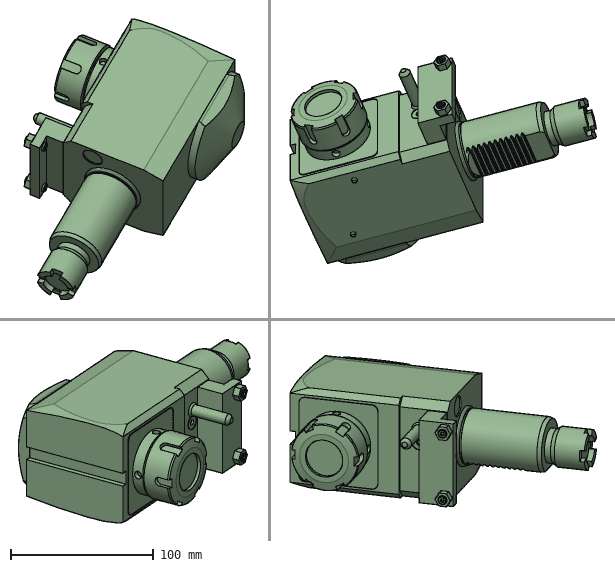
import cadquery as cq
import math


HALF_HEIGHT = 37.5
BODY_BACK = 116.0
BODY_LEFT = -41.4
BODY_RIGHT = 39.2
BODY_CHAMFER = 4.1
STEP_DEPTH = 2.4
STEP_LENGTH = 35.4
STEP_CHAMFER = 6.0
STEP_FACE = BODY_LEFT + STEP_DEPTH
TAPER_START = 24.0
TAPER_ANGLE = math.radians(15)
KEYWAY_WIDTH = 10.0
KEYWAY_DEPTH = 4.0

ARCH_ANGLE = math.radians(12)
ARCH_POINTS = [(-37.6, 34.75), (-33.0, 35.6), (-25.5, 36.5), (-14.0, 36.8), (2.2, 36.4), (24.0, 34.95)]

PAD_LENGTH = 58.4
PAD_HEIGHT = 63.2
PAD_RADIUS = 4.5
PAD_THICKNESS = 0.6

SPINDLE_Y = 80.0
COLLAR_RADIUS = 24.0
COLLAR_END = -50.4
GROOVE_RADIUS = 20.8
NUT_RADIUS = 25.0
NUT_BACK = -52.2
NUT_CHAMFER_START = -71.7
NUT_SHOULDER = -73.0
NUT_SHOULDER_RADIUS = 24.4
NUT_FACE = -74.5
NUT_FACE_RADIUS = 18.0
NUT_BORE_RADIUS = 13.75
NUT_BORE_DEPTH = 2.5
NUT_SLOTS = 6
NUT_SLOT_WIDTH = 6.5
NUT_SIDE_SLOT_END = -61.4
NUT_SLANT_SLOT_END = -57.9
NUT_SLOT_FLOOR = 22.0
COLLAR_HOLES = 4
COLLAR_HOLE_RADIUS = 2.8
COLLAR_HOLE_DEPTH = 4.0
COLLAR_HOLE_X = -46.4

COVER_RADIUS = 40.0
COVER_RIM = 44.8
COVER_TIP = 59.1
COVER_TIP_RADIUS = 10.0
COVER_BACK = 111.5
COVER_FLAT_END = 41.0

FLANGE_RADIUS = 21.6
FLANGE_LENGTH = 2.3
FLANGE_ROUND = 1.0
UNDERCUT_RADIUS = 19.7
SHANK_RADIUS = 20.3
SHANK_START = 3.6
SHANK_CHAMFER_START = 60.0
SHANK_END = 63.0
SHANK_END_RADIUS = 19.3
NECK_RADIUS = 12.5
NECK_END = 67.5
COUPLING_RADIUS = 14.6
COUPLING_START = 71.0
COUPLING_END = 93.0
COUPLING_BORE_RADIUS = 10.0
COUPLING_BORE_DEPTH = 4.3
COUPLING_SLOT_DEPTH = 3.3
COUPLING_SLOTS = 4
COUPLING_SLOT_ANGLE = math.radians(33)

FLAT_Z = -16.1
TOOTH_PITCH = 4.06
TOOTH_DEPTH = 1.6
TOOTH_COUNT = 11
TOOTH_ROOT_WIDTH = 0.8
TOOTH_MOUTH_WIDTH = 3.2
LAST_GROOVE_Y = -47.4

BRACKET_FRONT = -59.6
BRACKET_TOP = 14.5
BRACKET_BASE = 0.6
BRACKET_LEG_BACK = -52.2
BRACKET_LEG_END = -10.8
BRACKET_HALF_HEIGHT = 31.0
SCREW_Y = -4.6
SCREW_Z = 24.9
NUT_ACROSS_FLATS = 9.8
HEX_NUT_HEIGHT = 5.1
SCREW_RADIUS = 3.2
SCREW_CROWN = 1.2
SCREW_TIP = 1.9
SCREW_EDGE_BREAK = 0.6
SCREW_SOCKET = 2.5
SCREW_SOCKET_DEPTH = 2.0

PIN_Y = 21.2
PIN_Z = 16.0
PIN_RADIUS = 4.15
PIN_TIP = -71.6
PIN_CHAMFER = 2.7
PIN_TIP_RADIUS = 2.0
PIN_COLLAR_RADIUS = 5.3
PIN_COLLAR_HEIGHT = 1.5
PLUG_Z = 6.0
PLUG_RADIUS = 5.2
PLUG_DEPTH = 0.4
PLUG_SOCKET_RADIUS = 1.9
PLUG_SOCKET_DEPTH = 2.0

RECESS_X = -16.0
RECESS_Z = 27.9
RECESS_RADIUS = 7.5
RECESS_DEPTH = 1.0
NOZZLE_POSITIONS = [(-30.0, 72.0), (16.5, 89.0)]
NOZZLE_RADIUS = 2.1
NOZZLE_TIP_RADIUS = 1.5
NOZZLE_HEIGHT = 1.6

OVERLAP = 1.0
CLEAR = 20.0


def taper_z(x):
    """Height of the tapered upper flank at position x."""
    return HALF_HEIGHT - (x - TAPER_START) * math.tan(TAPER_ANGLE)


def mirror_down(points):
    """Close an upper outline with its mirror image below Z = 0."""
    return points + [(x, -z) for x, z in reversed(points)]


def along_x(x, y=0.0, z=0.0):
    """Workplane facing -X at the given place; local axes are -Y and Z."""
    return cq.Workplane(cq.Plane((x, y, z), xDir=(0, -1, 0), normal=(-1, 0, 0)))


def turned_about_x(profile, y, z=0.0):
    """Revolve an (x, radius) profile about a line parallel to X."""
    plane = cq.Plane((0, y, z), xDir=(1, 0, 0), normal=(0, 0, 1))
    return cq.Workplane(plane).polyline(profile).close().revolve(360, (0, 0, 0), (1, 0, 0))


def hexagon_diameter(across_flats):
    return across_flats / math.cos(math.pi / 6)


def housing_block(left, chamfer, start, end):
    """Prism along Y with chamfered left edges and a tapered right side."""
    outline = mirror_down([
        (left, HALF_HEIGHT - chamfer),
        (left + chamfer, HALF_HEIGHT),
        (TAPER_START, HALF_HEIGHT),
        (BODY_RIGHT, taper_z(BODY_RIGHT)),
    ])
    plane = cq.Plane((0, end, 0), xDir=(1, 0, 0), normal=(0, -1, 0))
    return cq.Workplane(plane).polyline(outline).close().extrude(end - start)


def rear_arch_cutter():
    """Material above an arched ramp that falls towards the back."""
    left_height = HALF_HEIGHT - BODY_CHAMFER
    plane = cq.Plane(
        (0, BODY_BACK, left_height),
        xDir=(1, 0, 0),
        normal=(0, -math.cos(ARCH_ANGLE), math.sin(ARCH_ANGLE)),
    )
    rear_edge = [
        (BODY_LEFT, left_height),
        *ARCH_POINTS,
        (BODY_RIGHT, taper_z(BODY_RIGHT)),
    ]
    arch = [(x, (z - left_height) * math.cos(ARCH_ANGLE)) for x, z in rear_edge]
    cutter = (
        cq.Workplane(plane)
        .moveTo(BODY_LEFT - OVERLAP, 0)
        .lineTo(BODY_LEFT, 0)
        .spline(arch[1:], includeCurrent=True)
        .lineTo(BODY_RIGHT + OVERLAP, arch[-1][1])
        .lineTo(BODY_RIGHT + OVERLAP, CLEAR)
        .lineTo(BODY_LEFT - OVERLAP, CLEAR)
        .close()
        .extrude(2 * CLEAR, both=True)
    )
    return cutter


def housing():
    body = housing_block(BODY_LEFT, BODY_CHAMFER, STEP_LENGTH, BODY_BACK)
    body = body.union(housing_block(STEP_FACE, STEP_CHAMFER, 0, STEP_LENGTH))
    arch = rear_arch_cutter()
    body = body.cut(arch).cut(arch.mirror("XY"))
    keyway = cq.Workplane("XY").box(4 * BODY_RIGHT, 2 * KEYWAY_DEPTH, KEYWAY_WIDTH)
    body = body.cut(keyway.translate((0, BODY_BACK, 0)))
    recess = (
        cq.Workplane("XZ")
        .center(RECESS_X, RECESS_Z)
        .circle(RECESS_RADIUS)
        .extrude(-RECESS_DEPTH)
    )
    return body.cut(recess)


def pad():
    return (
        along_x(BODY_LEFT + OVERLAP, SPINDLE_Y)
        .rect(PAD_LENGTH, PAD_HEIGHT)
        .extrude(OVERLAP + PAD_THICKNESS)
        .edges("|X")
        .fillet(PAD_RADIUS)
    )


def nut_slot(end):
    """Wrench slot cutter on top of the nut, round at its inner end."""
    floor = cq.Workplane("XY").workplane(offset=NUT_SLOT_FLOOR)
    round_centre = end - NUT_SLOT_WIDTH / 2
    length = round_centre - NUT_FACE + OVERLAP
    tip = floor.center(round_centre, SPINDLE_Y).circle(NUT_SLOT_WIDTH / 2).extrude(CLEAR)
    channel = (
        floor.center(round_centre - length / 2, SPINDLE_Y)
        .rect(length, NUT_SLOT_WIDTH)
        .extrude(CLEAR)
    )
    return channel.union(tip)


def spindle():
    bore_floor = NUT_FACE + NUT_BORE_DEPTH
    profile = [
        (BODY_LEFT + OVERLAP, 0),
        (BODY_LEFT + OVERLAP, COLLAR_RADIUS),
        (COLLAR_END, COLLAR_RADIUS),
        (COLLAR_END, GROOVE_RADIUS),
        (NUT_BACK, GROOVE_RADIUS),
        (NUT_BACK, NUT_RADIUS),
        (NUT_CHAMFER_START, NUT_RADIUS),
        (NUT_SHOULDER, NUT_SHOULDER_RADIUS),
        (NUT_FACE, NUT_FACE_RADIUS),
        (NUT_FACE, NUT_BORE_RADIUS),
        (bore_floor, NUT_BORE_RADIUS),
        (bore_floor, 0),
    ]
    body = turned_about_x(profile, SPINDLE_Y)
    axis = ((0, SPINDLE_Y, 0), (1, SPINDLE_Y, 0))

    for index in range(NUT_SLOTS):
        on_side = index % (NUT_SLOTS // 2) == 0
        slot = nut_slot(NUT_SIDE_SLOT_END if on_side else NUT_SLANT_SLOT_END)
        body = body.cut(slot.rotate(*axis, 90 + index * 360 / NUT_SLOTS))

    hole = (
        cq.Workplane("XY")
        .workplane(offset=COLLAR_RADIUS - COLLAR_HOLE_DEPTH)
        .center(COLLAR_HOLE_X, SPINDLE_Y)
        .circle(COLLAR_HOLE_RADIUS)
        .extrude(CLEAR)
    )
    for index in range(COLLAR_HOLES):
        body = body.cut(hole.rotate(*axis, index * 360 / COLLAR_HOLES))
    return body


def cover():
    """Shallow cone trimmed flush with the housing flanks and the rear side."""
    cone = turned_about_x(
        [
            (BODY_RIGHT - OVERLAP, 0),
            (BODY_RIGHT - OVERLAP, COVER_RADIUS),
            (COVER_RIM, COVER_RADIUS),
            (COVER_TIP, COVER_TIP_RADIUS),
            (COVER_TIP, 0),
        ],
        SPINDLE_Y,
    )
    flank = mirror_down([
        (BODY_RIGHT - OVERLAP, taper_z(COVER_FLAT_END)),
        (COVER_FLAT_END, taper_z(COVER_FLAT_END)),
        (COVER_TIP, taper_z(COVER_TIP)),
    ])
    plane = cq.Plane((0, COVER_BACK, 0), xDir=(1, 0, 0), normal=(0, -1, 0))
    envelope = cq.Workplane(plane).polyline(flank).close().extrude(2 * COVER_RADIUS)
    return cone.intersect(envelope)


def shank():
    bore_floor = COUPLING_END - COUPLING_BORE_DEPTH
    slot_floor = COUPLING_END - COUPLING_SLOT_DEPTH
    body = (
        cq.Workplane("XY")
        .moveTo(0, OVERLAP)
        .lineTo(FLANGE_RADIUS, OVERLAP)
        .lineTo(FLANGE_RADIUS, FLANGE_ROUND - FLANGE_LENGTH)
        .tangentArcPoint((FLANGE_RADIUS - FLANGE_ROUND, -FLANGE_LENGTH), relative=False)
        .lineTo(UNDERCUT_RADIUS, -FLANGE_LENGTH)
        .lineTo(UNDERCUT_RADIUS, -SHANK_START)
        .lineTo(SHANK_RADIUS, -SHANK_START)
        .lineTo(SHANK_RADIUS, -SHANK_CHAMFER_START)
        .lineTo(SHANK_END_RADIUS, -SHANK_END)
        .lineTo(NECK_RADIUS, -SHANK_END)
        .lineTo(NECK_RADIUS, -NECK_END)
        .lineTo(COUPLING_RADIUS, -COUPLING_START)
        .lineTo(COUPLING_RADIUS, -COUPLING_END)
        .lineTo(COUPLING_BORE_RADIUS, -COUPLING_END)
        .lineTo(COUPLING_BORE_RADIUS, -bore_floor)
        .lineTo(0, -bore_floor)
        .close()
        .revolve(360, (0, 0, 0), (0, 1, 0))
    )

    reach = 2 * COUPLING_RADIUS
    half_mouth = reach * math.tan(COUPLING_SLOT_ANGLE / 2)
    wedge = (
        cq.Workplane("XZ", origin=(0, -slot_floor, 0))
        .polyline([(0, 0), (reach, -half_mouth), (reach, half_mouth)])
        .close()
        .extrude(CLEAR)
    )
    for index in range(COUPLING_SLOTS):
        body = body.cut(wedge.rotate((0, 0, 0), (0, 1, 0), index * 360 / COUPLING_SLOTS))

    flat = (
        cq.Workplane("YZ")
        .polyline([
            (-SHANK_END, FLAT_Z),
            (-SHANK_START - (FLAT_Z + SHANK_RADIUS), FLAT_Z),
            (-SHANK_START, -SHANK_RADIUS),
            (-SHANK_END, -SHANK_RADIUS),
        ])
        .close()
        .extrude(SHANK_RADIUS, both=True)
    )
    body = body.cut(flat)

    groove_top = FLAT_Z + TOOTH_DEPTH
    groove = (
        cq.Workplane("YZ")
        .polyline([
            (-TOOTH_MOUTH_WIDTH / 2, FLAT_Z),
            (-TOOTH_ROOT_WIDTH / 2, groove_top),
            (TOOTH_ROOT_WIDTH / 2, groove_top),
            (TOOTH_MOUTH_WIDTH / 2, FLAT_Z),
        ])
        .close()
        .extrude(SHANK_RADIUS, both=True)
    )
    for index in range(TOOTH_COUNT):
        body = body.cut(groove.translate((0, LAST_GROOVE_Y + index * TOOTH_PITCH, 0)))
    return body


def bracket():
    outline = [
        (STEP_FACE + OVERLAP, BRACKET_TOP),
        (BRACKET_FRONT, BRACKET_TOP),
        (BRACKET_FRONT, BRACKET_LEG_END),
        (BRACKET_LEG_BACK, BRACKET_LEG_END),
        (BRACKET_LEG_BACK, BRACKET_BASE),
        (STEP_FACE + OVERLAP, BRACKET_BASE),
    ]
    return cq.Workplane("XY").polyline(outline).close().extrude(BRACKET_HALF_HEIGHT, both=True)


def bracket_screw(z):
    nut = (
        along_x(BRACKET_FRONT + OVERLAP, SCREW_Y, z)
        .polygon(6, hexagon_diameter(NUT_ACROSS_FLATS))
        .extrude(HEX_NUT_HEIGHT + OVERLAP)
    )
    front = BRACKET_FRONT - HEX_NUT_HEIGHT - SCREW_CROWN
    back = BRACKET_LEG_BACK + SCREW_TIP
    stud = (
        along_x(back, SCREW_Y, z)
        .circle(SCREW_RADIUS)
        .extrude(back - front)
        .faces("<X or >X")
        .chamfer(SCREW_EDGE_BREAK)
    )
    socket = (
        along_x(front, SCREW_Y, z)
        .polygon(6, hexagon_diameter(SCREW_SOCKET))
        .extrude(-SCREW_SOCKET_DEPTH)
    )
    return nut.union(stud).cut(socket)


def pin():
    profile = [
        (STEP_FACE + OVERLAP, 0),
        (STEP_FACE + OVERLAP, PIN_COLLAR_RADIUS),
        (STEP_FACE, PIN_COLLAR_RADIUS),
        (STEP_FACE - PIN_COLLAR_HEIGHT, PIN_RADIUS),
        (PIN_TIP + PIN_CHAMFER, PIN_RADIUS),
        (PIN_TIP, PIN_TIP_RADIUS),
        (PIN_TIP, 0),
    ]
    return turned_about_x(profile, PIN_Y, PIN_Z)


def plug_recess():
    face = along_x(STEP_FACE, PIN_Y, PLUG_Z)
    counterbore = face.circle(PLUG_RADIUS).extrude(-PLUG_DEPTH)
    return counterbore.union(face.circle(PLUG_SOCKET_RADIUS).extrude(-PLUG_SOCKET_DEPTH))


def nozzle(x, y):
    profile = [
        (0, OVERLAP),
        (NOZZLE_RADIUS, OVERLAP),
        (NOZZLE_RADIUS, 0),
        (NOZZLE_TIP_RADIUS, -NOZZLE_HEIGHT),
        (0, -NOZZLE_HEIGHT),
    ]
    body = cq.Workplane("XZ").polyline(profile).close().revolve(360, (0, 0, 0), (0, 1, 0))
    return body.translate((x, y, -HALF_HEIGHT))


result = housing().cut(plug_recess())
result = result.union(pad()).union(spindle()).union(cover()).union(shank()).union(bracket())
for side in (-1, 1):
    result = result.union(bracket_screw(side * SCREW_Z))
result = result.union(pin())
for nozzle_x, nozzle_y in NOZZLE_POSITIONS:
    result = result.union(nozzle(nozzle_x, nozzle_y))